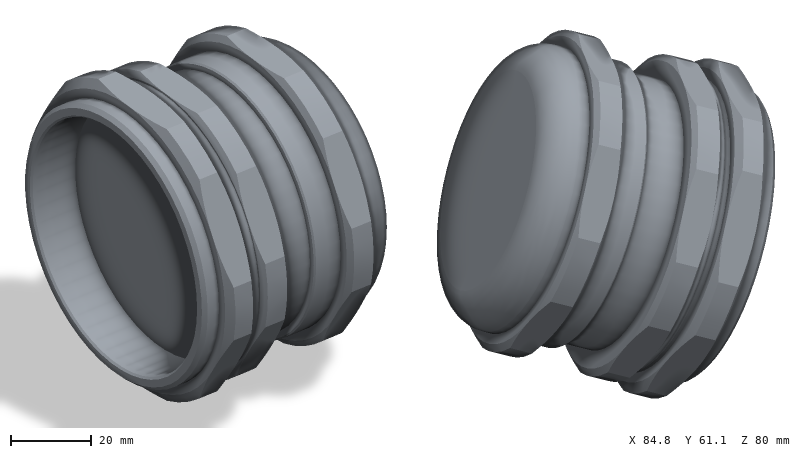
import cadquery as cq
import math

LENGTH = 61.1

THREAD_END = 4.5
LOCKNUT_END = 12.7
SHOULDER_END = 14.2
SEAL_CENTRE = 15.6
BODY_NUT_START = 16.0
NUT_WIDTH = 8.0
BODY_NUT_END = BODY_NUT_START + NUT_WIDTH
SLEEVE_START = 34.7
CAP_NUT_START = 42.6

THREAD_DIAMETER = 75.0
THREAD_TIP_DIAMETER = 73.0
SEAL_DIAMETER = 77.2
NECK_DIAMETER = 69.0
SLEEVE_DIAMETER = 73.0
BORE_DIAMETER = 68.0
BORE_MOUTH_DIAMETER = 69.0

LOCKNUT_FLATS = 80.0
LOCKNUT_CORNERS = 84.85
NUT_FLATS = 78.15
NUT_CORNERS = 81.6
NUT_BEVEL_ANGLE = math.radians(30)

DOME_RADIUS = 8.5
SLEEVE_CHAMFER = 0.4
SHOULDER_CHAMFER = 0.5
SEAL_RADIUS = 1.5
BORE_DEPTH = 13.6
MOUTH_TAPER = 45


def disc(diameter, start, end):
    """Cylinder along the axis between two stations."""
    return cq.Workplane("XY").workplane(offset=start).circle(diameter / 2).extrude(end - start)


def hex_nut(flats, corners, start, end):
    """Hexagon with corners on X, turned down and bevelled to the flats at both ends."""
    width = end - start
    bevel_radial = (corners - flats) / 2
    bevel_axial = bevel_radial * math.tan(NUT_BEVEL_ANGLE)
    point_distance = flats / math.cos(math.pi / 6)
    hexagon = cq.Workplane("XY").workplane(offset=start).polygon(6, point_distance).extrude(width)
    blank = disc(corners, start, end)
    blank = blank.faces("<Z").chamfer(bevel_axial, bevel_radial)
    blank = blank.faces(">Z").chamfer(bevel_axial, bevel_radial)
    return hexagon.intersect(blank)


thread_chamfer = (THREAD_DIAMETER - THREAD_TIP_DIAMETER) / 2
thread = disc(THREAD_DIAMETER, 0, LOCKNUT_END).faces("<Z").chamfer(thread_chamfer)
locknut = hex_nut(LOCKNUT_FLATS, LOCKNUT_CORNERS, THREAD_END, LOCKNUT_END)

shoulder = disc(THREAD_DIAMETER, LOCKNUT_END, SHOULDER_END).faces(">Z").chamfer(SHOULDER_CHAMFER)
seal_path_radius = SEAL_DIAMETER / 2 - SEAL_RADIUS
core = disc(2 * seal_path_radius, SHOULDER_END, BODY_NUT_START)
seal = cq.Workplane(cq.Solid.makeTorus(seal_path_radius, SEAL_RADIUS)).translate((0, 0, SEAL_CENTRE))
body_nut = hex_nut(NUT_FLATS, NUT_CORNERS, BODY_NUT_START, BODY_NUT_END)
neck = disc(NECK_DIAMETER, BODY_NUT_END, SLEEVE_START)

cap = disc(SLEEVE_DIAMETER, SLEEVE_START, LENGTH)
cap = cap.faces("<Z").chamfer(SLEEVE_CHAMFER).faces(">Z").edges().fillet(DOME_RADIUS)
cap_nut = hex_nut(NUT_FLATS, NUT_CORNERS, CAP_NUT_START, CAP_NUT_START + NUT_WIDTH)

mouth_chamfer = (BORE_MOUTH_DIAMETER - BORE_DIAMETER) / 2
bore = disc(BORE_DIAMETER, 0, BORE_DEPTH)
mouth = cq.Workplane("XY").circle(BORE_MOUTH_DIAMETER / 2).extrude(mouth_chamfer, taper=MOUTH_TAPER)

gland = thread
for section in (locknut, shoulder, core, seal, body_nut, neck, cap, cap_nut):
    gland = gland.union(section)
gland = gland.cut(bore).cut(mouth)

result = gland.rotate((0, 0, 0), (1, 0, 0), -90).translate((0, -LENGTH / 2, 0))